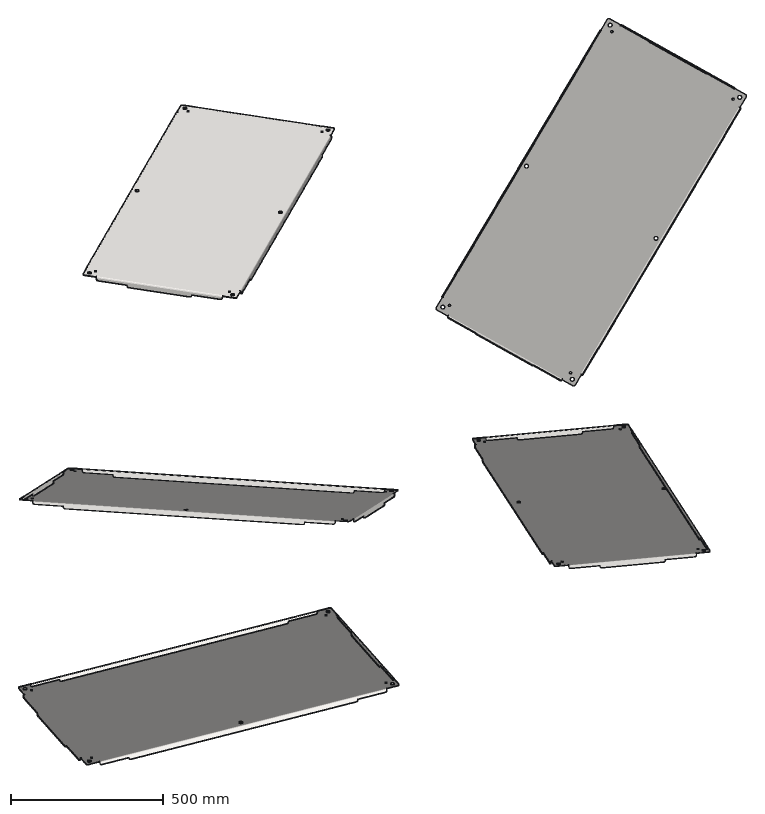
import cadquery as cq

WIDTH = 531.81
LENGTH = 1141.41
HEIGHT = 22.23

THICKNESS = 3.175
BEND_OUTER_RADIUS = 6.35
BEND_INNER_RADIUS = BEND_OUTER_RADIUS - THICKNESS

EDGE_SETBACK = 3.3
PLATE_WIDTH = WIDTH - 2 * EDGE_SETBACK
PLATE_LENGTH = LENGTH - 2 * EDGE_SETBACK
PLATE_CORNER_RADIUS = 6.35

FLANGE_END_MARGIN = 50.8
LONG_SPAN = LENGTH - 2 * FLANGE_END_MARGIN
SHORT_SPAN = WIDTH - 2 * FLANGE_END_MARGIN
SHALLOW_DEPTH = 14.0
STEP_LENGTH = 105.0
FLANGE_CORNER_RADIUS = 6.35

MOUNTING_DIAMETER = 12.7
MOUNTING_X = 244.5
MOUNTING_Y = 549.3

SMALL_DIAMETER = 7.14
SMALL_X = 228.6
SMALL_Y = 533.4


def make_plate():
    """Flat sheet with rounded corners."""
    return (
        cq.Workplane("XY")
        .rect(PLATE_WIDTH, PLATE_LENGTH)
        .extrude(-THICKNESS)
        .edges("|Z")
        .fillet(PLATE_CORNER_RADIUS)
    )


def bend_strip(span, face_offset):
    """Plate edge that the +X flange replaces: from the bend tangent line to the outer face."""
    return (
        cq.Workplane("XY")
        .center(face_offset - BEND_OUTER_RADIUS / 2, 0)
        .rect(BEND_OUTER_RADIUS, span)
        .extrude(-THICKNESS)
    )


def flange_tier(tier_length, depth, reach):
    """Block below Z = 0 with rounded lower ends, extending from X = 0 to X = reach."""
    return (
        cq.Workplane("YZ")
        .center(0, -depth / 2)
        .rect(tier_length, depth)
        .extrude(reach)
        .edges("|X and <Z")
        .fillet(FLANGE_CORNER_RADIUS)
    )


def make_flange(span, face_offset):
    """Bent, stepped flange on the +X side with its outer face at X = face_offset."""
    tangent_x = face_offset - BEND_OUTER_RADIUS
    inner_x = face_offset - THICKNESS
    bent_sheet = (
        cq.Workplane("XZ")
        .moveTo(tangent_x, 0)
        .radiusArc((face_offset, -BEND_OUTER_RADIUS), BEND_OUTER_RADIUS)
        .lineTo(face_offset, -HEIGHT)
        .lineTo(inner_x, -HEIGHT)
        .lineTo(inner_x, -BEND_OUTER_RADIUS)
        .radiusArc((tangent_x, -THICKNESS), -BEND_INNER_RADIUS)
        .close()
        .extrude(span / 2, both=True)
    )
    shallow_tier = flange_tier(span, SHALLOW_DEPTH, face_offset)
    deep_tier = flange_tier(span - 2 * STEP_LENGTH, HEIGHT, face_offset)
    return bent_sheet.intersect(shallow_tier.union(deep_tier))


def fold_flange(panel, span, face_offset, angle):
    """Replace one plate edge by its flange; angle turns the +X side to the wanted side."""
    axis_start = (0, 0, 0)
    axis_end = (0, 0, 1)
    strip = bend_strip(span, face_offset).rotate(axis_start, axis_end, angle)
    flange = make_flange(span, face_offset).rotate(axis_start, axis_end, angle)
    return panel.cut(strip).union(flange)


def hole_cutters(diameter, points):
    """Cylinders through the sheet at the given XY points."""
    return cq.Workplane("XY").pushPoints(points).circle(diameter / 2).extrude(-THICKNESS)


panel = make_plate()
for angle in (0, 180):
    panel = fold_flange(panel, LONG_SPAN, WIDTH / 2, angle)
for angle in (90, 270):
    panel = fold_flange(panel, SHORT_SPAN, LENGTH / 2, angle)

mounting_points = [(x, y) for x in (-MOUNTING_X, MOUNTING_X) for y in (-MOUNTING_Y, 0, MOUNTING_Y)]
small_points = [(x, y) for x in (-SMALL_X, SMALL_X) for y in (-SMALL_Y, SMALL_Y)]

result = (
    panel
    .cut(hole_cutters(MOUNTING_DIAMETER, mounting_points))
    .cut(hole_cutters(SMALL_DIAMETER, small_points))
)